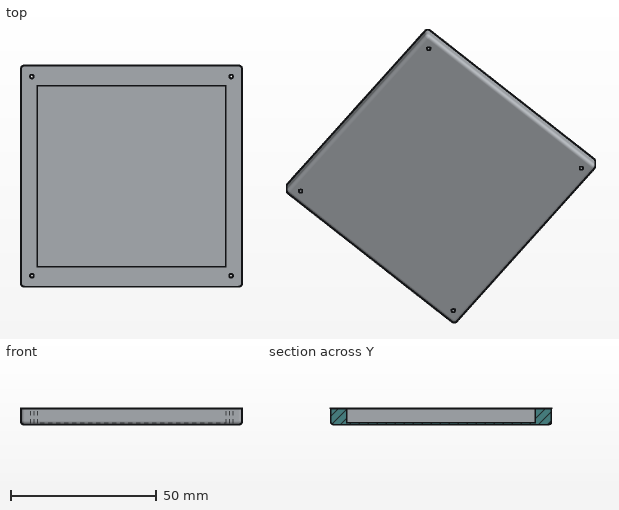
import cadquery as cq

side = 76.2
height = 5.7
corner_radius = 1.2
rim_radius = 1.3

pocket_length = 64.85
pocket_width = 62.25
pocket_depth = 4.95

hole_diameter = 1.2
hole_inset = 3.8
hole_spacing = side - 2 * hole_inset

body = (
    cq.Workplane("XY")
    .box(side, side, height, centered=(True, True, False))
    .edges("|Z")
    .fillet(corner_radius)
    .faces("<Z")
    .edges()
    .fillet(rim_radius)
)

tray = (
    body.faces(">Z")
    .workplane(origin=(0, 0, height))
    .rect(pocket_length, pocket_width)
    .cutBlind(-pocket_depth)
)

result = (
    tray.faces(">Z")
    .workplane(origin=(0, 0, height))
    .rect(hole_spacing, hole_spacing, forConstruction=True)
    .vertices()
    .circle(hole_diameter / 2)
    .cutThruAll()
)